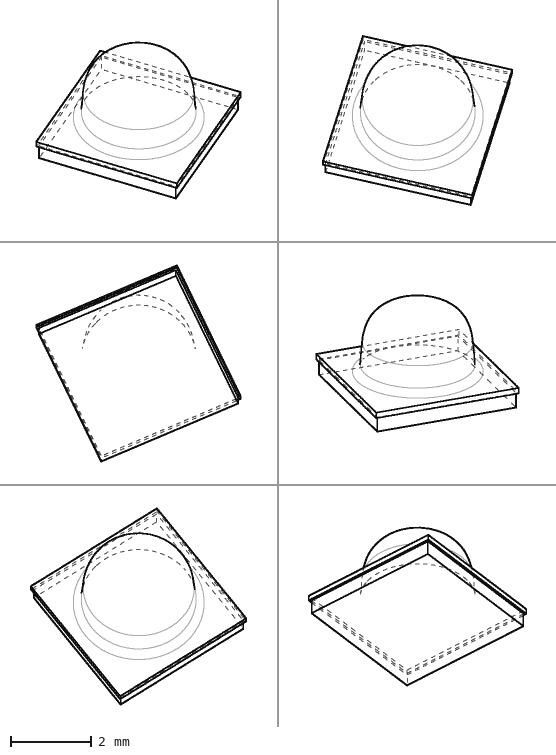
import cadquery as cq
import math

base_side = 3.75
base_height = 0.4
plate_side = 3.85
plate_thickness = 0.15
plate_top = base_height + plate_thickness

overall_height = 2.4
lens_foot_radius = 1.63
foot_fillet_radius = 0.2
wall_draft = math.radians(4.5)
dome_start_height = 1.325
wall_pull = 0.75
crown_pull = 0.86


def square_slab(side, thickness, bottom):
    return cq.Workplane("XY", origin=(0, 0, bottom)).rect(side, side).extrude(thickness)


def lens():
    """Solid lens revolved about Z; profile lies on the -Y side of the YZ plane."""

    def fillet_point(angle):
        """Point (radius, height) on the foot fillet, angle measured up from the plate."""
        radius = lens_foot_radius - foot_fillet_radius * math.sin(angle)
        height = plate_top + foot_fillet_radius * (1 - math.cos(angle))
        return radius, height

    wall_angle = math.pi / 2 - wall_draft
    fillet_middle = fillet_point(wall_angle / 2)
    wall_bottom = fillet_point(wall_angle)
    dome_start_radius = wall_bottom[0] - (dome_start_height - wall_bottom[1]) * math.tan(wall_draft)
    dome_start = (dome_start_radius, dome_start_height)
    wall_control = (
        dome_start_radius - wall_pull * math.tan(wall_draft),
        dome_start_height + wall_pull,
    )
    crown_control = (crown_pull, overall_height)
    apex = (0, overall_height)

    def on_profile(point):
        radius, height = point
        return -radius, height

    root_height = base_height + plate_thickness / 2
    dome_curve = [on_profile(p) for p in (dome_start, wall_control, crown_control, apex)]
    return (
        cq.Workplane("YZ")
        .moveTo(0, root_height)
        .lineTo(-lens_foot_radius, root_height)
        .lineTo(-lens_foot_radius, plate_top)
        .threePointArc(on_profile(fillet_middle), on_profile(wall_bottom))
        .lineTo(*on_profile(dome_start))
        .bezier(dome_curve)
        .close()
        .revolve(360, (0, 0), (0, 1))
    )


base = square_slab(base_side, base_height, 0)
plate = square_slab(plate_side, plate_thickness, base_height)
result = base.union(plate).union(lens())